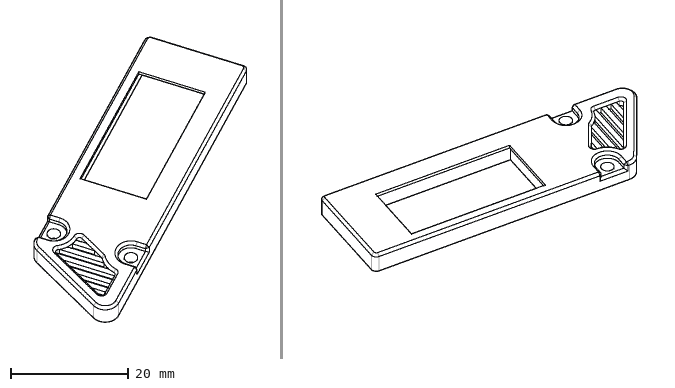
import cadquery as cq
import math

width = 18.7
length = 60.6
thickness = 3.7
edge_chamfer = 0.5
slant_angle = math.radians(30)
square_corner_radius = 0.95
slant_corner_radius = 2.5

window_width = 12.25
window_length = 26.3
window_side_margin = 2.0
window_end_margin = 8.5

lip_thickness = 0.6
lip_overhang = 0.4
pocket_wall = window_side_margin - lip_overhang

screw_hole_diameter = 2.3
screw_inset = 2.25
screw_y = 13.45
seat_radius = 2.25
seat_depth = 1.2

recess_depth = 1.5
recess_corner_radius = 0.5
recess_slant_margin = 2.25
recess_band_width = 5.5
recess_side_margin = 3.0
left_screw_clearance = 4.3
right_screw_clearance = 4.95

rib_count = 5
rib_width = 1.0
rib_pitch = 2.0
rib_middle_y = 8.5

left_screw = (screw_inset, screw_y)
right_screw = (width - screw_inset, screw_y)
chamfer_level = thickness - edge_chamfer
seat_floor = thickness - seat_depth
recess_floor = thickness - recess_depth


def slant_y(x, inset):
    """Y at x on the line that runs parallel to the slanted end, the given distance inside it."""
    rise = (width - slant_corner_radius - x) * math.tan(slant_angle)
    return slant_corner_radius + rise + (inset - slant_corner_radius) / math.cos(slant_angle)


def make_blank():
    left_corner = (0, slant_y(0, 0))
    right_corner = (width, slant_y(width, 0))
    outline = [left_corner, right_corner, (width, length), (0, length)]
    blank = cq.Workplane("XY").polyline(outline).close().extrude(thickness)
    blank = blank.faces(">Y").edges("|Z").fillet(square_corner_radius)
    slant_middle = (width / 2, slant_y(width / 2, 0), thickness / 2)
    slanted_face = blank.faces(cq.selectors.NearestToPointSelector(slant_middle))
    return slanted_face.edges("|Z").fillet(slant_corner_radius)


def make_seat(screw, side_x):
    """Pocket rounded about a screw and running straight out through the side at side_x."""
    x, y = screw
    round_end_x = x + math.copysign(seat_radius, x - side_x)
    return (
        cq.Workplane("XY", origin=(0, 0, seat_floor))
        .moveTo(side_x, y + seat_radius)
        .lineTo(x, y + seat_radius)
        .threePointArc((round_end_x, y), (x, y - seat_radius))
        .lineTo(side_x, y - seat_radius)
        .close()
        .extrude(seat_depth)
    )


def make_recess():
    """Band parallel to the slanted end, cut back by an arc around each screw."""
    right_x = width - recess_side_margin
    near = recess_slant_margin
    far = recess_slant_margin + recess_band_width
    band = [
        (0, slant_y(0, near)),
        (right_x, slant_y(right_x, near)),
        (right_x, slant_y(right_x, far)),
        (0, slant_y(0, far)),
    ]
    base = cq.Workplane("XY", origin=(0, 0, recess_floor))
    left_disc = base.center(*left_screw).circle(left_screw_clearance).extrude(recess_depth)
    right_disc = base.center(*right_screw).circle(right_screw_clearance).extrude(recess_depth)
    pieces = base.polyline(band).close().extrude(recess_depth).cut(left_disc).cut(right_disc)
    return pieces.solids(">X").edges("|Z").fillet(recess_corner_radius)


def make_ribs(recess):
    """Bars level with the bottom of the edge chamfer, trimmed to the recess walls."""
    rib_height = chamfer_level - recess_floor
    bars = (
        cq.Workplane("XY", origin=(width / 2, rib_middle_y, recess_floor + rib_height / 2))
        .rarray(0.6, rib_pitch, 1, rib_count)
        .box(width, rib_width, rib_height)
    )
    return bars.intersect(recess)


recess = make_recess()
body = make_blank()
body = body.cut(make_seat(left_screw, 0)).cut(make_seat(right_screw, width)).cut(recess)

seat_tolerance = 0.05
mouth_zone = cq.selectors.BoxSelector(
    (-0.6, screw_y - seat_radius - seat_tolerance, seat_floor - seat_tolerance),
    (width + 0.6, screw_y + seat_radius + seat_tolerance, thickness - seat_tolerance),
)
mouth_edges = body.faces("<X or >X").edges(mouth_zone)
body = body.faces(">Z").edges().add(mouth_edges).chamfer(edge_chamfer)

window_start_y = length - window_end_margin - window_length
window = (
    cq.Workplane("XY", origin=(window_side_margin, window_start_y, 0))
    .rect(window_width, window_length, centered=False)
    .extrude(thickness)
)
pocket_start_y = window_start_y - lip_overhang
pocket = (
    cq.Workplane("XY", origin=(pocket_wall, pocket_start_y, 0))
    .rect(window_width + 2 * lip_overhang, length - pocket_wall - pocket_start_y, centered=False)
    .extrude(thickness - lip_thickness)
)
screw_holes = (
    cq.Workplane("XY")
    .pushPoints([left_screw, right_screw])
    .circle(screw_hole_diameter / 2)
    .extrude(thickness)
)

result = body.union(make_ribs(recess)).cut(window).cut(pocket).cut(screw_holes)